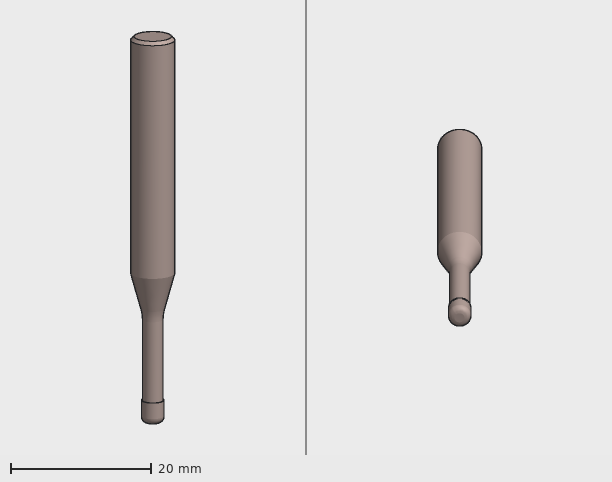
import cadquery as cq
import math

total_length = 57.15
shank_diameter = 6.35
shank_chamfer = 0.5
neck_diameter = 3.0
neck_top_height = 15.2
blend_radius = 6.0
cone_half_angle = math.radians(15.5)
head_diameter = 3.25
head_length = 3.3
head_corner_radius = 0.9

shank_radius = shank_diameter / 2
neck_radius = neck_diameter / 2

blend_top_radius = neck_radius + blend_radius * (1 - math.cos(cone_half_angle))
blend_top_height = neck_top_height + blend_radius * math.sin(cone_half_angle)
blend_mid_radius = neck_radius + blend_radius * (1 - math.cos(cone_half_angle / 2))
blend_mid_height = neck_top_height + blend_radius * math.sin(cone_half_angle / 2)
cone_height = (shank_radius - blend_top_radius) / math.tan(cone_half_angle)
shoulder_height = blend_top_height + cone_height


def make_holder():
    """Slim neck, blended cone and chamfered shank, revolved as one body."""
    half_profile = (
        cq.Workplane("XZ")
        .moveTo(0, head_length)
        .lineTo(neck_radius, head_length)
        .lineTo(neck_radius, neck_top_height)
        .threePointArc((blend_mid_radius, blend_mid_height), (blend_top_radius, blend_top_height))
        .lineTo(shank_radius, shoulder_height)
        .lineTo(shank_radius, total_length)
        .lineTo(0, total_length)
        .close()
    )
    holder = half_profile.revolve(360, (0, 0, 0), (0, 1, 0))
    return holder.faces(">Z").edges().chamfer(shank_chamfer)


def make_cutting_head():
    """Cylindrical cutting head with a rounded lower corner."""
    head = cq.Workplane("XY").circle(head_diameter / 2).extrude(head_length)
    return head.faces("<Z").edges().fillet(head_corner_radius)


holder = make_holder()
cutting_head = make_cutting_head()

result = cq.Compound.makeCompound([holder.val(), cutting_head.val()])